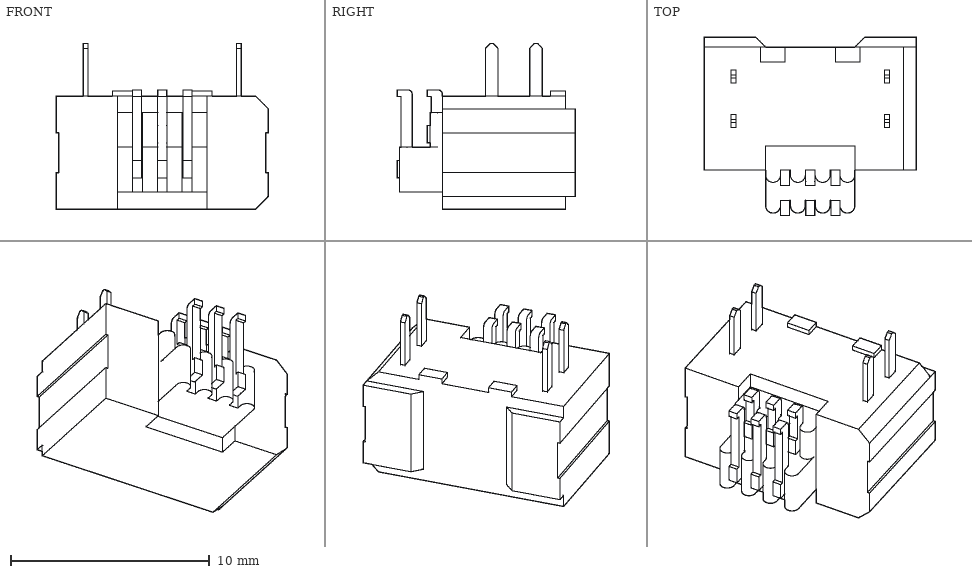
import cadquery as cq


block_width = 10.69
block_depth = 6.2
block_height = 5.7
block_top = block_height / 2
corner_chamfer = 0.64

notch_depth = 0.12
notch_height = 2.0

wing_length = 0.5
wing_height = block_height - 2 * corner_chamfer

pad_width = 1.25
pad_length = 0.76
pad_height = 0.265
pad_offset = 1.89

finger_count = 4
finger_width = 0.75
groove_width = 0.5
finger_pitch = finger_width + groove_width
comb_width = finger_count * finger_width + (finger_count - 1) * groove_width
comb_bottom = -1.98
recess_depth = 1.21
row_pitch = 1.52

upper_step_top = 2.02
lower_step_top = 0.28
upper_step_nose = -0.62
lower_step_nose = -2.17
upper_groove_floor = 0.0
lower_groove_floor = upper_groove_floor - row_pitch

contact_count = finger_count - 1
contact_pitch = 1.27
contact_width = 0.46
contact_depth = 0.57
contact_top = block_top + 0.32
contact_bend_radius = 0.23
contact_reach = 0.77
foot_thickness = 0.34
tab_height = 0.88
upper_contact_bottom = 0.5
lower_contact_bottom = -1.27

clip_offset = 3.86
clip_thickness = 0.26
prong_width = 0.65
prong_height = 2.66
prong_taper = 0.25
prong_pitch = 2.23
prong_count = 2
front_prong_y = 2.48
clip_bar_height = prong_width
clip_bar_depth = 1.0


def make_box(x_center, width, y_range, z_range):
    """Box centred on x_center, spanning the given Y and Z ranges."""
    y_low, y_high = y_range
    z_low, z_high = z_range
    box = cq.Workplane("XY").box(width, y_high - y_low, z_high - z_low, centered=(True, False, False))
    return box.translate((x_center, y_low, z_low))


def make_block():
    """Block with chamfered +X edges and a wing at each rear corner."""
    block = make_box(0, block_width, (0, block_depth), (-block_top, block_top))
    block = block.edges("|Y and >X").chamfer(corner_chamfer)
    return block.union(make_wing(1)).union(make_wing(-1))


def make_wing(side):
    """Rear wing on one side, its inner end sloping at 45 degrees."""
    outer = block_width / 2
    inner = comb_width / 2
    return (
        cq.Workplane("XY")
        .workplane(offset=-wing_height / 2)
        .moveTo(side * inner, block_depth)
        .lineTo(side * outer, block_depth)
        .lineTo(side * outer, block_depth + wing_length)
        .lineTo(side * (inner + wing_length), block_depth + wing_length)
        .close()
        .extrude(wing_height)
    )


def make_comb_step(nose, groove_floor, bottom, top):
    """One step of the comb: a solid base with round-nosed fingers in front of it."""
    step = make_box(0, comb_width, (groove_floor, recess_depth), (bottom, top))
    radius = finger_width / 2
    nose_center = nose + radius
    for index in range(finger_count):
        x_center = (index - (finger_count - 1) / 2) * finger_pitch
        finger = (
            cq.Workplane("XY")
            .workplane(offset=bottom)
            .moveTo(x_center - radius, groove_floor)
            .lineTo(x_center - radius, nose_center)
            .threePointArc((x_center, nose), (x_center + radius, nose_center))
            .lineTo(x_center + radius, groove_floor)
            .close()
            .extrude(top - bottom)
        )
        step = step.union(finger)
    return step


def make_contact(x_center, back, bottom):
    """Contact tail: bent foot at the top, tab at the bottom, back face on the groove floor."""
    front = back - contact_depth
    tip = back - contact_reach
    stem = make_box(x_center, contact_width, (front, back), (bottom, contact_top))
    foot = make_box(x_center, contact_width, (tip, back), (contact_top - foot_thickness, contact_top))
    tab = make_box(x_center, contact_width, (tip, back), (bottom, bottom + tab_height))
    contact = stem.union(foot).union(tab)
    return contact.edges("|X and >Y and >Z").fillet(contact_bend_radius)


def make_clip(side):
    """Hold-down clip: two pointed prongs standing on a common bar."""
    tip = block_top + prong_height
    bar_top = block_top - clip_bar_depth
    bar_bottom = bar_top - clip_bar_height
    x_center = side * clip_offset
    front = front_prong_y - prong_width / 2
    clip = make_box(
        x_center,
        clip_thickness,
        (front, front + (prong_count - 1) * prong_pitch + prong_width),
        (bar_bottom, bar_top),
    )
    for index in range(prong_count):
        prong_front = front + index * prong_pitch
        prong_y = (prong_front, prong_front + prong_width)
        prong = make_box(x_center, clip_thickness, prong_y, (bar_bottom, tip))
        clip = clip.union(prong.edges("|X and >Z").chamfer(prong_taper))
    return clip


def make_housing():
    """Moulded block, comb and contacts as one solid."""
    body = make_block()
    notch_z = (-notch_height / 2, notch_height / 2)
    pad_y = (block_depth - pad_length, block_depth)
    pad_z = (block_top, block_top + pad_height)
    for side in (-1, 1):
        edge = side * block_width / 2
        body = body.cut(make_box(edge, 2 * notch_depth, (0, block_depth + wing_length), notch_z))
        body = body.union(make_box(side * pad_offset, pad_width, pad_y, pad_z))

    body = body.cut(make_box(0, comb_width, (0, recess_depth), (-block_top, block_top)))
    body = body.union(make_comb_step(upper_step_nose, upper_groove_floor, lower_step_top, upper_step_top))
    body = body.union(make_comb_step(lower_step_nose, lower_groove_floor, comb_bottom, lower_step_top))

    for index in range(contact_count):
        x_center = (index - (contact_count - 1) / 2) * contact_pitch
        body = body.union(make_contact(x_center, upper_groove_floor, upper_contact_bottom))
        body = body.union(make_contact(x_center, lower_groove_floor, lower_contact_bottom))
    return body


clips = [make_clip(side) for side in (-1, 1)]

housing = make_housing()
for clip in clips:
    housing = housing.cut(clip)

result = cq.Compound.makeCompound([housing.val(), *[clip.val() for clip in clips]])